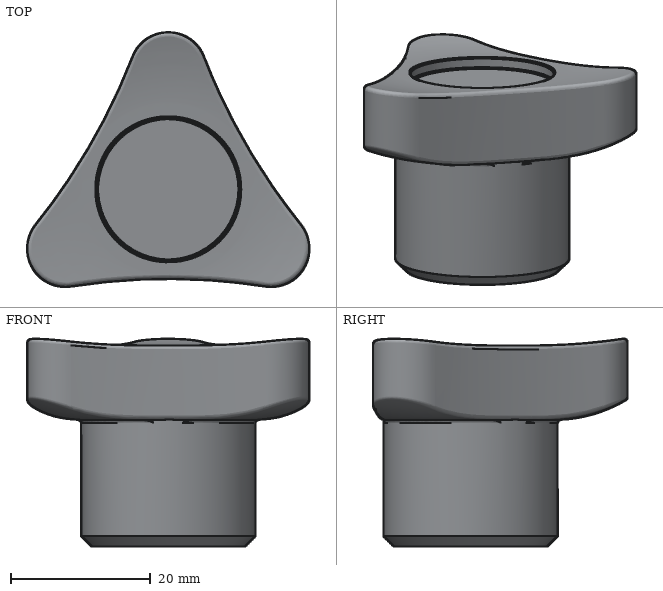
import cadquery as cq
import math

width = 40.45
lobe_radius = 5.5
lobe_distance = (width / 2 - lobe_radius) / math.cos(math.radians(30))
side_radius = 90.0

grip_bottom = 18.1
underside_flat_radius = 11.95
underside_curl = 20.0
dish_bottom = 28.75
dish_flat_radius = 10.27
dish_curl = 67.15
cut_reach = 24.25
edge_radius = 0.55

stem_radius = 25.0 / 2
stem_chamfer = 1.5
stem_fillet = 0.45

recess_radius = 20.5 / 2
recess_depth = 1.65
recess_floor = dish_bottom - recess_depth
recess_chamfer = 0.2


def polar(radius, angle):
    return (radius * math.cos(math.radians(angle)), radius * math.sin(math.radians(angle)))


def grip_outline():
    """Closed outline with lobes at 90, 210 and 330 degrees and tangent hollow sides."""
    half_span = lobe_distance * math.sin(math.radians(60))
    tilt = math.degrees(math.asin(half_span / (side_radius + lobe_radius)))
    side_center = lobe_distance / 2 + (side_radius + lobe_radius) * math.cos(math.radians(tilt))
    side_middle = side_center - side_radius

    def lobe_point(lobe_angle, offset):
        center = polar(lobe_distance, lobe_angle)
        reach = polar(lobe_radius, lobe_angle + offset)
        return (center[0] + reach[0], center[1] + reach[1])

    lobe_half_angle = 60 + tilt
    outline = cq.Workplane("XY").moveTo(*lobe_point(90, -lobe_half_angle))
    for angle in (90, 210, 330):
        outline = outline.threePointArc(lobe_point(angle, 0), lobe_point(angle, lobe_half_angle))
        outline = outline.threePointArc(
            polar(side_middle, angle + 60), lobe_point(angle + 120, -lobe_half_angle)
        )
    return outline.close()


def curled_solid(flat_radius, curl, base, height):
    """Round solid standing to the given height on a face that curls upward outside the flat."""

    def curl_point(radius):
        rise = curl - math.sqrt(curl**2 - (radius - flat_radius) ** 2)
        return (radius, base + rise)

    return (
        cq.Workplane("XZ")
        .moveTo(0, base)
        .lineTo(flat_radius, base)
        .threePointArc(curl_point((flat_radius + cut_reach) / 2), curl_point(cut_reach))
        .lineTo(cut_reach, height)
        .lineTo(0, height)
        .close()
        .revolve(360, (0, 0, 0), (0, 1, 0))
    )


def make_grip():
    """Prism trimmed by two curled faces, with rounded upper and lower edges."""
    prism_height = 2 * dish_bottom
    prism = grip_outline().extrude(prism_height)
    above_underside = curled_solid(underside_flat_radius, underside_curl, grip_bottom, prism_height)
    above_dish = curled_solid(dish_flat_radius, dish_curl, dish_bottom, prism_height)
    grip = prism.intersect(above_underside).cut(above_dish)
    wall_edges = grip.edges("|Z").vals()
    seam_ends = [vertex.Center() for edge in wall_edges for vertex in edge.Vertices()]

    def on_wall(edge):
        return any((edge.startPoint() - end).Length < 0.005 for end in seam_ends)

    rim_edges = [edge for edge in grip.edges("not |Z").vals() if on_wall(edge)]
    return grip.newObject(rim_edges).fillet(edge_radius)


def make_stem():
    """Chamfered cylinder with a concave flare that fills the corner under the grip."""
    overlap = edge_radius
    stem = cq.Workplane("XY").circle(stem_radius).extrude(grip_bottom + overlap)
    stem = stem.faces("<Z").chamfer(stem_chamfer)
    flare_start = grip_bottom - stem_fillet
    diagonal = stem_fillet * (1 - math.sqrt(0.5))
    flare = (
        cq.Workplane("XZ")
        .moveTo(0, flare_start)
        .lineTo(stem_radius, flare_start)
        .threePointArc(
            (stem_radius + diagonal, grip_bottom - diagonal),
            (stem_radius + stem_fillet, grip_bottom),
        )
        .lineTo(stem_radius + stem_fillet, grip_bottom + overlap)
        .lineTo(0, grip_bottom + overlap)
        .close()
        .revolve(360, (0, 0, 0), (0, 1, 0))
    )
    inner_outline = grip_outline().offset2D(-edge_radius).extrude(2 * dish_bottom)
    return stem.union(flare.intersect(inner_outline))


def make_recess():
    """Round pocket with a beveled rim and a beveled floor corner."""
    bevel = recess_chamfer
    return (
        cq.Workplane("XZ")
        .moveTo(0, recess_floor)
        .lineTo(recess_radius - bevel, recess_floor)
        .lineTo(recess_radius, recess_floor + bevel)
        .lineTo(recess_radius, dish_bottom - bevel)
        .lineTo(recess_radius + 2 * bevel, dish_bottom + bevel)
        .lineTo(0, dish_bottom + bevel)
        .close()
        .revolve(360, (0, 0, 0), (0, 1, 0))
    )


result = make_grip().union(make_stem()).cut(make_recess())